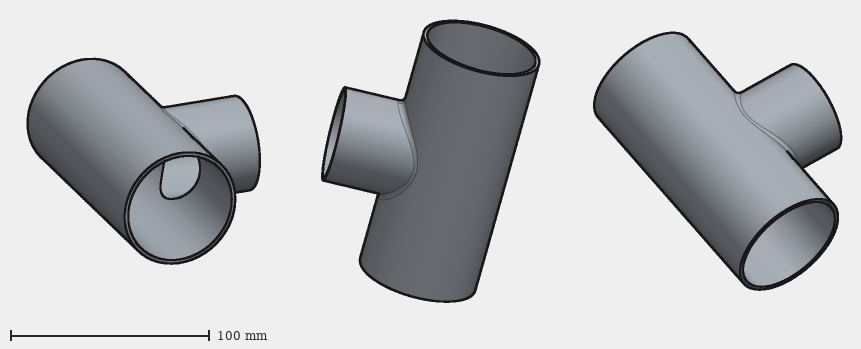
import cadquery as cq

run_length = 128.0
run_outer_diameter = 60.3
run_bore_diameter = 56.3

branch_outer_diameter = 48.3
branch_bore_diameter = 44.3
overall_depth = 90.1
branch_end_y = overall_depth - run_outer_diameter / 2

blend_radius = 3.0
seam_margin = 1.3


def run_cylinder(diameter):
    """Solid cylinder over the full length of the run."""
    return cq.Workplane("YZ").circle(diameter / 2).extrude(run_length / 2, both=True)


def branch_cylinder(diameter):
    """Solid cylinder from the run axis to the open end of the branch."""
    return cq.Workplane("XZ").circle(diameter / 2).extrude(-branch_end_y)


def outer_body():
    """Solid tee with the seam between its two cylinders blended."""
    body = run_cylinder(run_outer_diameter).union(branch_cylinder(branch_outer_diameter))
    half_width = branch_outer_diameter / 2 + seam_margin
    seam = cq.selectors.BoxSelector(
        (-half_width, seam_margin, -half_width),
        (half_width, branch_end_y - seam_margin, half_width),
        boundingbox=True,
    )
    return body.edges(seam).fillet(blend_radius)


result = (
    outer_body()
    .cut(run_cylinder(run_bore_diameter))
    .cut(branch_cylinder(branch_bore_diameter))
)